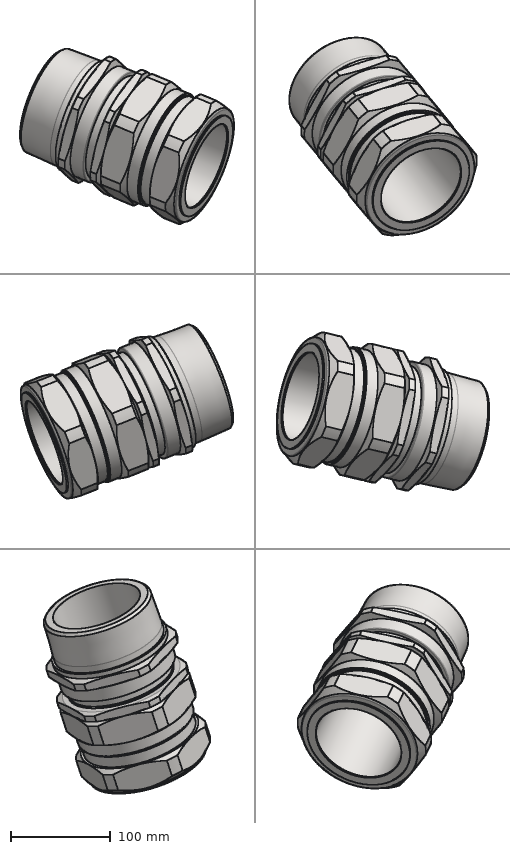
import cadquery as cq
import math


across_flats = 123.0
flat_radius = across_flats / 2
across_corners = across_flats / math.cos(math.pi / 6)
corner_radius = 1.1 * flat_radius
gland_nut_twist = 0.66

thread_chamfer_end = 2.9
taper_end = 36.7
thread_end = 44.3
locknut_start = 49.5
locknut_end = 61.2
body_collar_end = 76.2
entry_hex_start = 86.7
entry_hex_end = 96.7
body_hex_end = 126.4
rear_collar_end = 138.75
gland_nut_start = 152.7
gland_nut_end = 180.3
end_ring_end = 182.5
total_length = 184.3

bore_radius = 45.6
end_opening_radius = 45.2
thread_radius = 57.3
thread_taper = 1 / 32
thread_chamfer = 2.7
collar_radius = 59.9
neck_radius = 55.3
rear_collar_radius = 60.6
rear_body_radius = 58.6
end_ring_radius = 61.1
end_lip_radius = 54.2

groove_depth = 1.15
edge_rounding = 0.8
neck_end = entry_hex_start - 2 * groove_depth
groove_end = rear_collar_end + 2 * groove_depth

thin_nut_angle = 15
nut_angle = 30
gland_nut_rear_angle = 43


def cylinder(start, end, radius):
    return cq.Workplane("YZ").workplane(offset=start).circle(radius).extrude(end - start)


def turned(points):
    """Solid of revolution about X from (x, radius) points."""
    return cq.Workplane("XY").polyline(points).close().revolve(360, (0, 0, 0), (1, 0, 0))


def rounded_cylinder(start, end, radius):
    """Cylinder with its rear rim rounded."""
    return cylinder(start, end, radius).faces(">X").edges().fillet(edge_rounding)


def v_groove(start, radius):
    """Waisted section that leaves a V groove in a body of the given radius."""
    middle = start + groove_depth
    end = middle + groove_depth
    return turned([(start, 0), (start, radius), (middle, radius - groove_depth), (end, radius), (end, 0)])


def hexagon(start, end, front_face_radius, front_angle, rear_face_radius, rear_angle):
    """Hexagon with corners along Y, turned down at the corners and chamfered to a round face at each end."""
    prism = cq.Workplane("YZ").workplane(offset=start).polygon(6, across_corners).extrude(end - start)
    front_length = (corner_radius - front_face_radius) * math.tan(math.radians(front_angle))
    rear_length = (corner_radius - rear_face_radius) * math.tan(math.radians(rear_angle))
    envelope = turned([
        (start, 0),
        (start, front_face_radius),
        (start + front_length, corner_radius),
        (end - rear_length, corner_radius),
        (end, rear_face_radius),
        (end, 0),
    ])
    return prism.intersect(envelope)


def tapered_thread():
    taper_start_radius = thread_radius - thread_taper * (taper_end - thread_chamfer_end)
    return turned([
        (0, 0),
        (0, taper_start_radius - thread_chamfer),
        (thread_chamfer_end, taper_start_radius),
        (taper_end, thread_radius),
        (thread_end, thread_radius),
        (thread_end, 0),
    ])


def turned_sections():
    return [
        rounded_cylinder(thread_end, body_collar_end, collar_radius),
        cylinder(body_collar_end, neck_end, neck_radius),
        v_groove(neck_end, neck_radius),
        cylinder(body_hex_end, rear_collar_end, rear_collar_radius),
        v_groove(rear_collar_end, rear_body_radius),
        cylinder(groove_end, gland_nut_start, rear_body_radius),
        rounded_cylinder(gland_nut_end, end_ring_end, end_ring_radius),
        cylinder(end_ring_end, total_length, end_lip_radius),
    ]


def hexagons():
    locknut = hexagon(
        locknut_start, locknut_end,
        collar_radius, thin_nut_angle,
        collar_radius, thin_nut_angle,
    )
    entry_hex = hexagon(
        entry_hex_start, entry_hex_end,
        flat_radius, thin_nut_angle,
        flat_radius, thin_nut_angle,
    )
    body_hex = hexagon(
        entry_hex_end, body_hex_end,
        flat_radius, nut_angle,
        rear_collar_radius, nut_angle,
    )
    gland_nut = hexagon(
        gland_nut_start, gland_nut_end,
        flat_radius, nut_angle,
        end_ring_radius, gland_nut_rear_angle,
    )
    gland_nut = gland_nut.rotate((0, 0, 0), (1, 0, 0), gland_nut_twist)
    return [locknut, entry_hex, body_hex, gland_nut]


body = tapered_thread()
for section in turned_sections() + hexagons():
    body = body.union(section)

bore = cylinder(0, end_ring_end, bore_radius)
end_opening = cylinder(end_ring_end, total_length, end_opening_radius)
result = body.cut(bore).cut(end_opening)